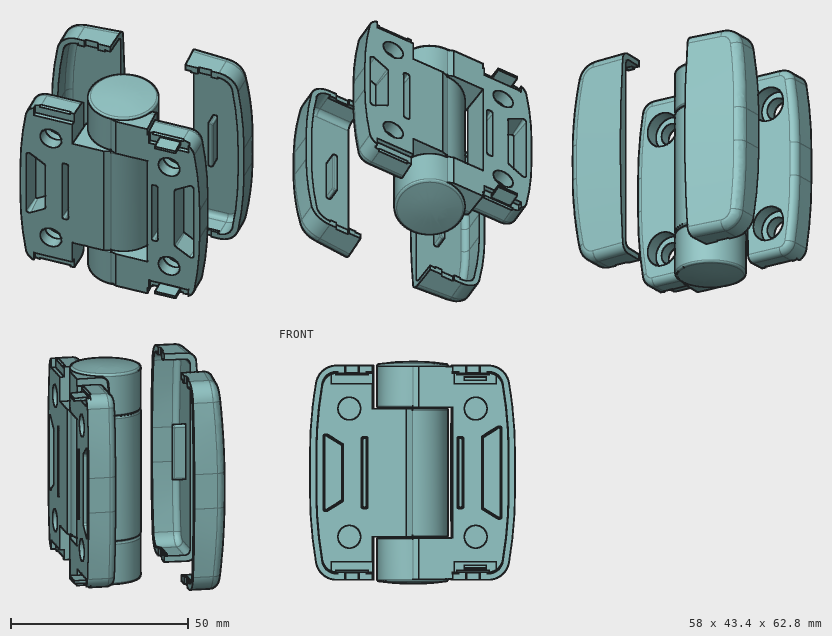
import cadquery as cq
import math


barrel_radius = 10.05
barrel_fillet = 0.45
barrel_half_length = 30.05
rim_fillet = 0.7
dome_top = 31.4
center_barrel_half = 18.1
barrel_gap = 0.3
outer_barrel_start = center_barrel_half + barrel_gap

mount_face = -10.7
wall_foot = 11.3
wall_draft = math.tan(math.radians(2.5))
block_toe = 1.8
block_top = 0.6
block_crest = 0.05
block_edge = -0.2
block_slope = 28.0
block_end_fillet = 2.65
crown_radius = 298.45

plate_half_width = 27.1
plate_half_height = 28.1
plate_corner = 4.0
plate_thickness = 8.15
plate_fillet = 2.1
side_flat_half = 5.0
side_radius = 118.1

screw_x = 17.85
screw_z = 18.1
screw_diameter = 6.4
screw_seat_depth = 3.8
screw_head_diameter = 10.05

recess_depth = 6.3
recess_taper = 4.0
slot_x = 13.5
slot_width = 1.9
slot_length = 20.35
window_inner_x = 19.5
window_outer_x = 25.25
window_rise = 3.6
window_corner = 0.8
slot_corner = 0.75
left_window_half = 8.0
right_window_half = 10.2

pocket_depth = 1.25
pocket_bottom_z = 25.15
left_pocket_x = (wall_foot - 1.25, 23.0)
right_pocket_x = (11.75, 23.7)
snap_edge_x = (12.45, 21.6)
snap_edge_chamfer = 0.5

cover_half_width = 28.995
cover_half_height = 30.3
cover_corner = 6.0
cover_foot = 19.5
cover_crest = 29.9
cover_slope = 4.3
cover_fillet = 2.7
cover_wall = 1.75
cover_ceiling = 26.9
cover_inner_fillet = 1.75
pry_notch_x = (15.0, 19.15)
pry_notch_depth = 0.5
snap_ridge_x = (12.95, 21.1)
snap_ridge_height = 0.45
snap_ridge_width = 1.25
rib_x = 17.45
rib_thickness = 1.5
rib_length = 16.1
rib_tip = 23.2
rib_end_fillet = 0.7
rib_tip_fillet = 0.3

blade_x = (14.65, 20.85)
blade_tip = -13.5
blade_inner_z = 26.15
blade_base_thickness = 1.0
blade_tip_thickness = 0.75

REACH = 37.7


def box(x_range, y_range, z_range):
    """Box between the given pairs of limits."""
    sizes = [high - low for low, high in (x_range, y_range, z_range)]
    return cq.Workplane("XY", origin=(x_range[0], y_range[0], z_range[0])).box(*sizes, centered=False)


def mirrored_pair(body):
    """The body joined with its mirror image in the Z = 0 plane."""
    return body.union(body.mirror("XY"))


def bowed_outline(foot, half_width, half_height, corner, bow):
    """Half-plate outline on the plane Y = foot: tangent top line, corner, bowed side and flat."""
    bow_x = half_width - bow
    corner_z = half_height - corner
    rise = corner_z - side_flat_half
    corner_x = bow_x + math.sqrt((bow - corner) ** 2 - rise**2)
    turn = math.asin(rise / (bow - corner))

    def on_bow(angle):
        return bow_x + bow * math.cos(angle), side_flat_half + bow * math.sin(angle)

    middle_turn = (turn + math.pi / 2) / 2
    corner_middle = (
        corner_x + corner * math.cos(middle_turn),
        corner_z + corner * math.sin(middle_turn),
    )
    bow_end = on_bow(turn)
    bow_middle = on_bow(turn / 2)
    return (
        cq.Workplane("XZ", origin=(0, foot, 0))
        .moveTo(0, -half_height)
        .lineTo(corner_x, -half_height)
        .threePointArc((corner_middle[0], -corner_middle[1]), (bow_end[0], -bow_end[1]))
        .threePointArc((bow_middle[0], -bow_middle[1]), (half_width, -side_flat_half))
        .lineTo(half_width, side_flat_half)
        .threePointArc(bow_middle, bow_end)
        .threePointArc(corner_middle, (corner_x, half_height))
        .lineTo(0, half_height)
        .close()
    )


def crowned_slab(crest, half_length):
    """Long slab along X whose +Y face is crowned lengthwise and highest at Z = 0."""

    def crown_y(z):
        return crest - crown_radius + math.sqrt(crown_radius**2 - z**2)

    middle = (crown_y(half_length / 2), half_length / 2)
    end = (crown_y(half_length), half_length)
    return (
        cq.Workplane("YZ", origin=(-REACH, 0, 0))
        .moveTo(crest - REACH, -half_length)
        .lineTo(end[0], -end[1])
        .threePointArc((middle[0], -middle[1]), (crest, 0))
        .threePointArc(middle, end)
        .lineTo(crest - REACH, half_length)
        .close()
        .extrude(2 * REACH)
    )


def tilt(body, pivot_x, pivot_y, slope):
    """Turn a body about a pivot line along Z so that it falls away from the hinge."""
    return body.rotate((pivot_x, pivot_y, 0), (pivot_x, pivot_y, 1), -slope)


def trim_inner_wall(body, foot):
    """Cut away the hinge side of a body along the drafted wall standing on Y = foot."""
    wall_top = wall_foot - REACH * wall_draft
    clearance = (
        cq.Workplane("XY", origin=(0, 0, -REACH))
        .polyline([(-0.6, foot), (wall_foot, foot), (wall_top, foot + REACH), (-0.6, foot + REACH)])
        .close()
        .extrude(2 * REACH)
    )
    return body.cut(clearance)


def hinge_block(low_z, high_z):
    """Block between two Z levels, from the barrel to the drafted inner wall of the plate."""
    top_x = wall_foot - (block_top - mount_face) * wall_draft
    edge_x = wall_foot - (block_edge - mount_face) * wall_draft
    prism = (
        cq.Workplane("XY", origin=(0, 0, low_z))
        .moveTo(0, block_top)
        .lineTo(0, -barrel_radius)
        .lineTo(block_toe, mount_face)
        .lineTo(wall_foot, mount_face)
        .lineTo(top_x, block_top)
        .close()
        .extrude(high_z - low_z)
    )
    crown = crowned_slab(block_crest, barrel_half_length)
    crown = crown.edges("|X").edges(">Y").fillet(block_end_fillet)
    sloped_edge = tilt(crowned_slab(block_edge, barrel_half_length), edge_x, block_edge, block_slope)
    return prism.intersect(crown).intersect(sloped_edge)


def center_barrel():
    barrel = cq.Workplane("XY").circle(barrel_radius).extrude(center_barrel_half, both=True)
    return barrel.faces("<Z or >Z").edges().fillet(barrel_fillet)


def domed_barrel():
    """Upper outer barrel with rounded ends and a shallow dome on top."""
    rim_radius = barrel_radius - rim_fillet
    rim_z = barrel_half_length + rim_fillet
    rise = dome_top - rim_z
    dome_radius = (rim_radius**2 + rise**2) / (2 * rise)
    half_x = rim_radius / 2
    half_z = dome_top - dome_radius + math.sqrt(dome_radius**2 - half_x**2)
    return (
        cq.Workplane("XZ")
        .moveTo(0, outer_barrel_start)
        .lineTo(barrel_radius - barrel_fillet, outer_barrel_start)
        .radiusArc((barrel_radius, outer_barrel_start + barrel_fillet), -barrel_fillet)
        .lineTo(barrel_radius, barrel_half_length)
        .radiusArc((rim_radius, rim_z), -rim_fillet)
        .threePointArc((half_x, half_z), (0, dome_top))
        .close()
        .revolve(360, (0, 0, 0), (0, 1, 0))
    )


def screw_holes():
    """Counterbored through holes, screwed from the +Y side."""
    places = [(screw_x, screw_z), (screw_x, -screw_z)]
    mouth = cq.Workplane("XZ", origin=(0, mount_face, 0)).pushPoints(places)
    seat = cq.Workplane("XZ", origin=(0, mount_face + screw_seat_depth, 0)).pushPoints(places)
    shanks = mouth.circle(screw_diameter / 2).extrude(-plate_thickness)
    heads = seat.circle(screw_head_diameter / 2).extrude(-plate_thickness)
    return shanks.union(heads)


def recesses(window_half):
    """Tapered slot and trapezoidal window sunk in the mounting face."""
    tall_half = window_half + window_rise
    window = (
        cq.Sketch()
        .polygon(
            [
                (window_inner_x, -window_half),
                (window_outer_x, -tall_half),
                (window_outer_x, tall_half),
                (window_inner_x, window_half),
                (window_inner_x, -window_half),
            ]
        )
        .vertices()
        .fillet(window_corner)
    )
    slot = cq.Sketch().push([(slot_x, 0)]).rect(slot_width, slot_length)
    slot = slot.reset().vertices().fillet(slot_corner)
    face = cq.Workplane("XZ", origin=(0, mount_face, 0))
    cutters = [face.placeSketch(shape).extrude(-recess_depth, taper=recess_taper) for shape in (window, slot)]
    return cutters[0].union(cutters[1])


def snap_pockets(pocket_x):
    """End pockets of the plate, each with a sloped edge that catches a cover ridge."""
    floor = mount_face + pocket_depth
    pocket = box(pocket_x, (mount_face, floor), (pocket_bottom_z, REACH))
    sloped_edge = (
        cq.Workplane("YZ", origin=(snap_edge_x[0], 0, 0))
        .moveTo(floor, plate_half_height - snap_edge_chamfer)
        .lineTo(floor + snap_edge_chamfer, plate_half_height)
        .lineTo(floor, plate_half_height)
        .close()
        .extrude(snap_edge_x[1] - snap_edge_x[0])
    )
    return mirrored_pair(pocket.union(sloped_edge))


def leaf_plate(window_half, pocket_x):
    plate = bowed_outline(mount_face, plate_half_width, plate_half_height, plate_corner, side_radius)
    plate = plate.extrude(-plate_thickness)
    plate = plate.faces(">Y").edges("not <X").fillet(plate_fillet)
    plate = trim_inner_wall(plate, mount_face)
    return plate.cut(screw_holes()).cut(recesses(window_half)).cut(snap_pockets(pocket_x))


def build_left_leaf():
    plate = leaf_plate(left_window_half, left_pocket_x)
    block = hinge_block(-center_barrel_half, center_barrel_half)
    leaf = plate.union(block).union(center_barrel())
    return leaf.mirror("YZ")


def build_right_leaf():
    plate = leaf_plate(right_window_half, right_pocket_x)
    block = hinge_block(outer_barrel_start, barrel_half_length)
    return plate.union(mirrored_pair(block.union(domed_barrel())))


def cover_shell():
    """Crowned cap, hollow and open towards -Y and towards the hinge."""
    bow = side_radius + cover_half_width - plate_half_width
    outline = bowed_outline(cover_foot, cover_half_width, cover_half_height, cover_corner, bow)
    crown = tilt(crowned_slab(cover_crest, REACH), wall_foot, cover_crest, cover_slope)
    shell = outline.extrude(-REACH).intersect(crown)
    shell = shell.faces(">Y").edges("not <X").fillet(cover_fillet)
    cavity = bowed_outline(
        cover_foot,
        cover_half_width - cover_wall,
        cover_half_height - cover_wall,
        cover_corner - cover_wall,
        bow - cover_wall,
    ).extrude(cover_foot - cover_ceiling)
    cavity = cavity.faces(">Y").edges("not <X").fillet(cover_inner_fillet)
    return trim_inner_wall(shell.cut(cavity), cover_foot)


def snap_ridges():
    """Triangular ridges along the inside of both legs, at the open edge."""
    leg_face = cover_half_height - cover_wall
    ridge = (
        cq.Workplane("YZ", origin=(snap_ridge_x[0], 0, 0))
        .moveTo(cover_foot, leg_face)
        .lineTo(cover_foot, leg_face - snap_ridge_height)
        .lineTo(cover_foot + snap_ridge_width, leg_face)
        .close()
        .extrude(snap_ridge_x[1] - snap_ridge_x[0])
    )
    return mirrored_pair(ridge)


def pry_notches():
    """Shallow notches with sloped ends across the open edge of both legs."""
    start, end = pry_notch_x
    slope = pry_notch_depth / 2
    return (
        cq.Workplane("XY", origin=(0, cover_foot, -REACH))
        .moveTo(start, 0)
        .lineTo(start + slope, pry_notch_depth)
        .lineTo(end - slope, pry_notch_depth)
        .lineTo(end, 0)
        .close()
        .extrude(2 * REACH)
    )


def cover_rib():
    """Upright rib standing on the ceiling, rounded at its ends and tip."""
    half_thickness = rib_thickness / 2
    half_length = rib_length / 2
    rib = box(
        (rib_x - half_thickness, rib_x + half_thickness),
        (rib_tip, cover_ceiling),
        (-half_length, half_length),
    )
    return rib.edges("|Y").fillet(rib_end_fillet).faces("<Y").edges().fillet(rib_tip_fillet)


def build_cover():
    shell = cover_shell().union(snap_ridges())
    return shell.cut(pry_notches()).union(cover_rib())


def build_terminal():
    """Blade standing on the upper pocket floor, its outer face tapering to the tip."""
    base_y = mount_face + pocket_depth
    return (
        cq.Workplane("YZ", origin=(blade_x[0], 0, 0))
        .moveTo(base_y, blade_inner_z)
        .lineTo(blade_tip, blade_inner_z)
        .lineTo(blade_tip, blade_inner_z + blade_tip_thickness)
        .lineTo(base_y, blade_inner_z + blade_base_thickness)
        .close()
        .extrude(blade_x[1] - blade_x[0])
    )


left_leaf = build_left_leaf()
right_leaf = build_right_leaf()

right_cover = build_cover()
covers = [right_cover, right_cover.mirror("YZ")]

upper_terminal = build_terminal()
terminals = [upper_terminal, upper_terminal.mirror("XY")]

bodies = [left_leaf, right_leaf, *covers, *terminals]
result = cq.Compound.makeCompound([body.val() for body in bodies])